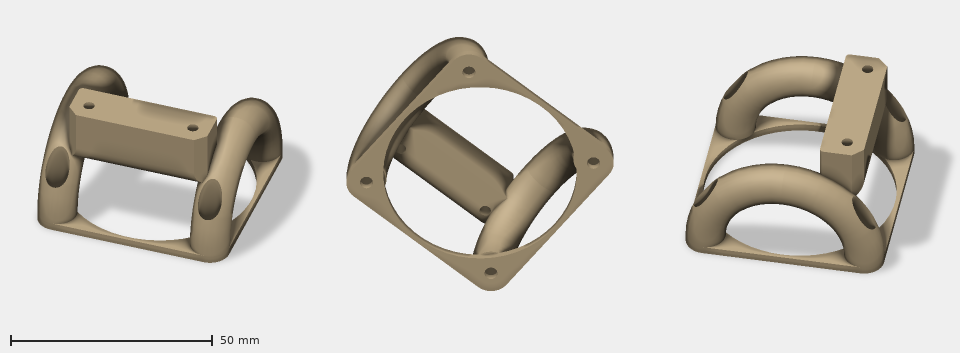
import cadquery as cq

plate_size = 50.0
plate_thickness = 2.0
opening_diameter = 48.0

tube_radius = 5.0
handle_offset = plate_size / 2 - tube_radius
ring_radius = plate_size / 2 - tube_radius

screw_diameter = 3.2
counterbore_diameter = 6.0

total_height = 32.95
block_length = 36.2
block_front_y = -19.1
block_back_y = -8.3
block_bottom_z = 17.4
block_front_chamfer = 2.6
block_back_fillet = 1.0
block_bottom_fillet = 5.0
block_hole_diameter = 2.8
block_hole_spacing = 27.2
block_hole_y = -14.5


def make_plate():
    """Square plate whose rounded corners match the handle feet."""
    return (
        cq.Workplane("XY")
        .rect(plate_size, plate_size)
        .extrude(plate_thickness)
        .edges("|Z")
        .fillet(tube_radius)
        .faces(">Z")
        .workplane()
        .hole(opening_diameter)
    )


def make_handle(x):
    """Half ring in a YZ plane, with both feet on the plate."""
    center = cq.Vector(x, 0, plate_thickness)
    ring = cq.Solid.makeTorus(ring_radius, tube_radius, center, cq.Vector(1, 0, 0))
    space_above_plate = (
        cq.Workplane("XY", origin=center.toTuple())
        .rect(plate_size, 2 * plate_size)
        .extrude(plate_size)
    )
    return cq.Workplane(ring).intersect(space_above_plate)


def make_block():
    """Block with chamfered front corners and a rounded lower front edge."""
    blank = (
        cq.Workplane("XY", origin=(0, (block_front_y + block_back_y) / 2, block_bottom_z))
        .rect(block_length, block_back_y - block_front_y)
        .extrude(total_height - block_bottom_z)
    )
    rounded_below = blank.edges("<Y and <Z").fillet(block_bottom_fillet)
    trimmed_corners = (
        blank.edges("|Z and <Y")
        .chamfer(block_front_chamfer)
        .edges("|Z and >Y")
        .fillet(block_back_fillet)
    )
    return rounded_below.intersect(trimmed_corners)


def vertical_cylinders(points, diameter, bottom_z):
    """Cutting cylinders that reach from bottom_z to the top of the part."""
    return (
        cq.Workplane("XY", origin=(0, 0, bottom_z))
        .pushPoints(points)
        .circle(diameter / 2)
        .extrude(total_height - bottom_z)
    )


foot_points = [(x, y) for x in (-handle_offset, handle_offset) for y in (-ring_radius, ring_radius)]
block_hole_points = [(side * block_hole_spacing / 2, block_hole_y) for side in (-1, 1)]

handles = make_handle(-handle_offset).union(make_handle(handle_offset))
handles = handles.cut(vertical_cylinders(foot_points, counterbore_diameter, 0))
plate = make_plate().cut(vertical_cylinders(foot_points, screw_diameter, 0))
result = plate.union(handles).union(make_block())
result = result.cut(vertical_cylinders(block_hole_points, block_hole_diameter, block_bottom_z))